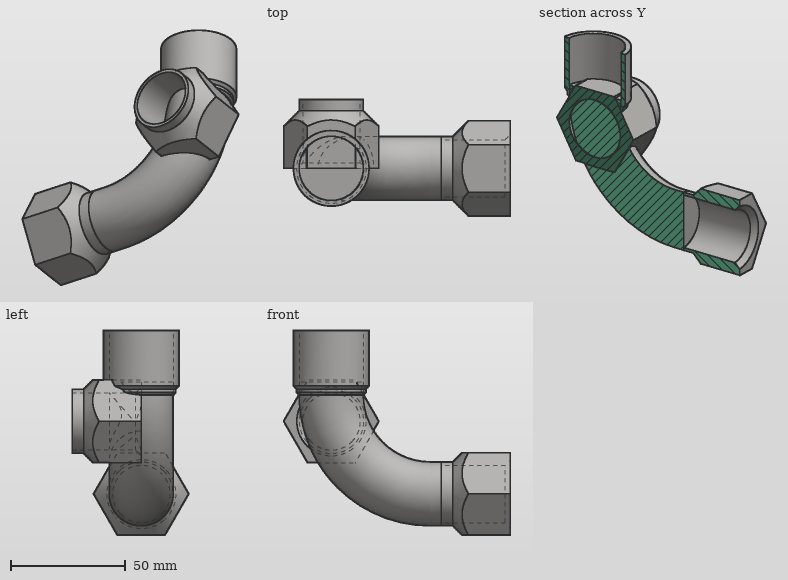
import cadquery as cq
import math

pipe_radius = 28.0 / 2
bend_radius = 43.0
side_stub_length = 5.0
top_stub_length = 5.9
side_stub_end = bend_radius + side_stub_length
top_stub_end = bend_radius + top_stub_length

hex_across_flats = 36.0
hex_across_corners = hex_across_flats * 2 / math.sqrt(3)
nut_length = 25.1
spigot_length = 4.9
nut_bore_radius = 25.0 / 2
seat_radius = 30.0 / 2
seat_depth = seat_radius - nut_bore_radius
cone_base_radius = pipe_radius + nut_length

socket_radius = 33.0 / 2
collar_radius = 30.3 / 2
socket_chamfer = socket_radius - collar_radius
collar_height = 1.5
collar_chamfer = 1.0
collar_bottom_height = 0.2
socket_bottom = bend_radius
socket_top = 71.2

rear_nut_height = 31.6


def make_elbow():
    path = (
        cq.Workplane("XZ")
        .moveTo(0, top_stub_end)
        .lineTo(0, bend_radius)
        .radiusArc((bend_radius, 0), -bend_radius)
        .lineTo(side_stub_end, 0)
    )
    return cq.Workplane("XY", origin=(0, 0, top_stub_end)).circle(pipe_radius).sweep(path)


def make_nut_envelope():
    """Outside of a nut and spigot, open end at z = 0, spigot pointing up."""
    hexagon = cq.Workplane("XY").polygon(6, hex_across_corners).extrude(nut_length)
    back_cone = (
        cq.Workplane("XZ")
        .lineTo(cone_base_radius, 0)
        .lineTo(pipe_radius, nut_length)
        .lineTo(0, nut_length)
        .close()
        .revolve(360, (0, 0, 0), (0, 1, 0))
    )
    spigot = cq.Workplane("XY", origin=(0, 0, nut_length)).circle(pipe_radius).extrude(spigot_length)
    return hexagon.intersect(back_cone).union(spigot)


def make_nut():
    """Nut envelope with a through bore and a conical seat at the open end."""
    bore = (
        cq.Workplane("XZ")
        .lineTo(seat_radius, 0)
        .lineTo(nut_bore_radius, seat_depth)
        .lineTo(nut_bore_radius, nut_length + spigot_length)
        .lineTo(0, nut_length + spigot_length)
        .close()
        .revolve(360, (0, 0, 0), (0, 1, 0))
    )
    return make_nut_envelope().cut(bore)


def place_at_rear(body):
    """Spigot towards +Y, open end on the elbow's centre plane."""
    return body.rotate((0, 0, 0), (1, 0, 0), -90).translate((0, 0, rear_nut_height))


def place_at_side(body):
    """Spigot towards -X against the horizontal stub, corners along Y."""
    open_end = side_stub_end + spigot_length + nut_length
    turned = body.rotate((0, 0, 0), (0, 0, 1), 90).rotate((0, 0, 0), (0, 1, 0), -90)
    return turned.translate((open_end, 0, 0))


def make_socket():
    bottom_radius = collar_radius - collar_chamfer
    collar_bottom = socket_bottom + collar_bottom_height + collar_chamfer
    collar_top = collar_bottom + collar_height
    return (
        cq.Workplane("XZ")
        .moveTo(pipe_radius, socket_bottom)
        .lineTo(bottom_radius, socket_bottom)
        .lineTo(bottom_radius, socket_bottom + collar_bottom_height)
        .lineTo(collar_radius, collar_bottom)
        .lineTo(collar_radius, collar_top)
        .lineTo(socket_radius, collar_top + socket_chamfer)
        .lineTo(socket_radius, socket_top)
        .lineTo(pipe_radius, socket_top)
        .close()
        .revolve(360, (0, 0, 0), (0, 1, 0))
    )


nuts = [place(make_nut()) for place in (place_at_rear, place_at_side)]
rear_nut = nuts[0]

elbow = make_elbow().cut(rear_nut)
socket = make_socket().cut(place_at_rear(make_nut_envelope()))

result = cq.Compound.makeCompound([elbow.val(), socket.val(), *[nut.val() for nut in nuts]])